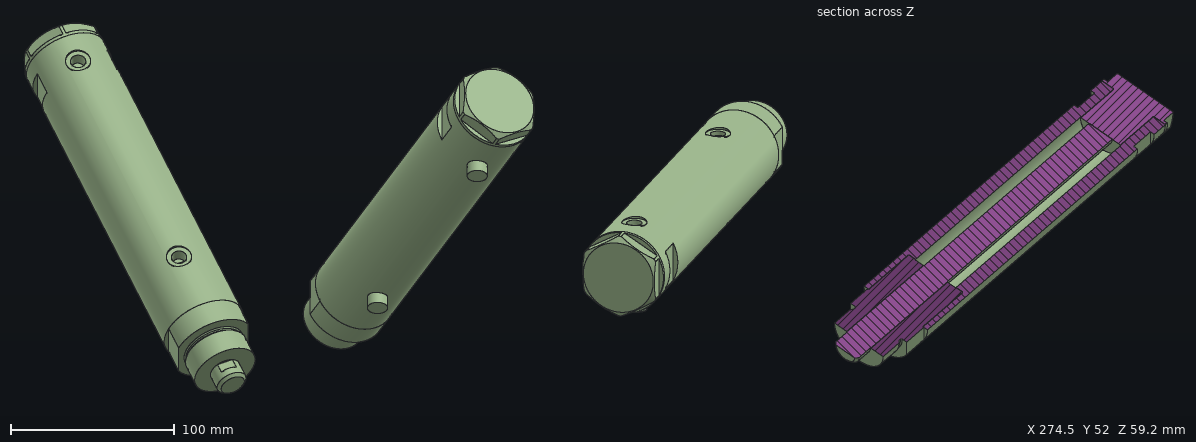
import cadquery as cq
import math

OUTER_RADIUS = 26.0
WRENCH_WIDTH = 46.0
BORE_RADIUS = 16.5
ROD_RADIUS = 9.5

HEX_END = 8.8
BARREL_START = 11.0
BARREL_END = 228.3
HEAD_FLAT_END = 244.0
COLLAR_END = 262.0
ROD_END = 274.5

HEX_FACE_RADIUS = 22.5
HEX_CHAMFER_LENGTH = 2.7
PLUG_END = 41.2

BARREL_FLAT_START = 21.0
BARREL_FLAT_END = 36.2
PORT_POSITIONS = (30.5, 189.5)
PORT_DIAMETER = 9.3
SPOTFACE_DIAMETER = 15.5
SPOTFACE_HEIGHT = 24.7
DOWEL_POSITIONS = (35.5, 192.5)
DOWEL_DIAMETER = 12.3
DOWEL_BOTTOM = -33.2

SPIGOT_RADIUS = 22.0
SPIGOT_START = 191.8
COLLAR_RADIUS = 20.0
NECK_RADIUS = 18.7
NECK_SHOULDER_RADIUS = 19.5
NECK_START = 244.8
NECK_END = 245.9
COLLAR_START = 247.2

ROD_FLAT_END = 268.0
ROD_FLAT_WIDTH = 16.5
ROD_CHAMFER = 2.0


def cylinder_x(radius, start, end):
    """Solid cylinder on the X axis between two stations."""
    return cq.Workplane("YZ", origin=(start, 0, 0)).circle(radius).extrude(end - start)


def cylinder_z(diameter, x, bottom, top):
    """Upright solid cylinder at station x."""
    return cq.Workplane("XY", origin=(x, 0, bottom)).circle(diameter / 2).extrude(top - bottom)


def slab(start, end, width_y, width_z):
    """Block centred on the X axis between two stations."""
    return cq.Workplane("YZ", origin=(start, 0, 0)).rect(width_y, width_z).extrude(end - start)


def make_cap():
    """Chamfered hex with a round flange and a plug that fills the bore."""
    chamfered_blank = (
        cq.Workplane("XY")
        .polyline([
            (0, 0),
            (0, HEX_FACE_RADIUS),
            (HEX_CHAMFER_LENGTH, OUTER_RADIUS),
            (HEX_END, OUTER_RADIUS),
            (HEX_END, 0),
        ])
        .close()
        .revolve(360, (0, 0, 0), (1, 0, 0))
    )
    across_corners = WRENCH_WIDTH / math.cos(math.pi / 6)
    hexagon = (
        cq.Workplane("YZ")
        .polygon(6, across_corners)
        .extrude(HEX_END)
        .rotate((0, 0, 0), (1, 0, 0), 90)
    )
    flange = cylinder_x(OUTER_RADIUS, HEX_END, BARREL_START)
    plug = cylinder_x(BORE_RADIUS, BARREL_START, PLUG_END)
    return chamfered_blank.intersect(hexagon).union(flange).union(plug)


def make_barrel():
    """Tube with two ports on top, a pair of wrench flats and two dowels underneath."""
    barrel = cylinder_x(OUTER_RADIUS, BARREL_START, BARREL_END)
    for x in DOWEL_POSITIONS:
        barrel = barrel.union(cylinder_z(DOWEL_DIAMETER, x, DOWEL_BOTTOM, 0))
    barrel = barrel.cut(cylinder_x(BORE_RADIUS, BARREL_START, BARREL_END))
    barrel = barrel.cut(cylinder_x(SPIGOT_RADIUS, SPIGOT_START, BARREL_END))
    for x in PORT_POSITIONS:
        barrel = barrel.cut(cylinder_z(PORT_DIAMETER, x, 0, OUTER_RADIUS))
        barrel = barrel.cut(cylinder_z(SPOTFACE_DIAMETER, x, SPOTFACE_HEIGHT, OUTER_RADIUS))

    flat_depth = OUTER_RADIUS - WRENCH_WIDTH / 2
    for side in (-1, 1):
        notch = slab(BARREL_FLAT_START, BARREL_FLAT_END, flat_depth, 2 * OUTER_RADIUS)
        barrel = barrel.cut(notch.translate((0, side * (WRENCH_WIDTH + flat_depth) / 2, 0)))
    return barrel


def make_head():
    """Spigot, flatted shoulder, necked collar and the rod hole through them."""
    shoulder = cylinder_x(OUTER_RADIUS, BARREL_END, HEAD_FLAT_END).intersect(
        slab(BARREL_END, HEAD_FLAT_END, WRENCH_WIDTH, 2 * OUTER_RADIUS)
    )
    necked_collar = (
        cq.Workplane("XY")
        .polyline([
            (HEAD_FLAT_END, 0),
            (HEAD_FLAT_END, NECK_SHOULDER_RADIUS),
            (NECK_START, NECK_RADIUS),
            (NECK_END, NECK_RADIUS),
            (COLLAR_START, COLLAR_RADIUS),
            (COLLAR_END, COLLAR_RADIUS),
            (COLLAR_END, 0),
        ])
        .close()
        .revolve(360, (0, 0, 0), (1, 0, 0))
    )
    spigot = cylinder_x(SPIGOT_RADIUS, SPIGOT_START, BARREL_END)
    rod_hole = cylinder_x(ROD_RADIUS, SPIGOT_START, COLLAR_END)
    return shoulder.union(necked_collar).union(spigot).cut(rod_hole)


def make_rod():
    """Rod from the cap's plug through the head, with two flats near its chamfered tip."""
    rod = cylinder_x(ROD_RADIUS, PLUG_END, ROD_END).faces(">X").chamfer(ROD_CHAMFER)
    flat_depth = ROD_RADIUS - ROD_FLAT_WIDTH / 2
    for side in (-1, 1):
        notch = slab(COLLAR_END, ROD_FLAT_END, 2 * ROD_RADIUS, flat_depth)
        rod = rod.cut(notch.translate((0, 0, side * (ROD_FLAT_WIDTH + flat_depth) / 2)))
    return rod


cap = make_cap()
barrel = make_barrel()
head = make_head()
rod = make_rod()

result = cq.Compound.makeCompound([cap.val(), barrel.val(), head.val(), rod.val()])